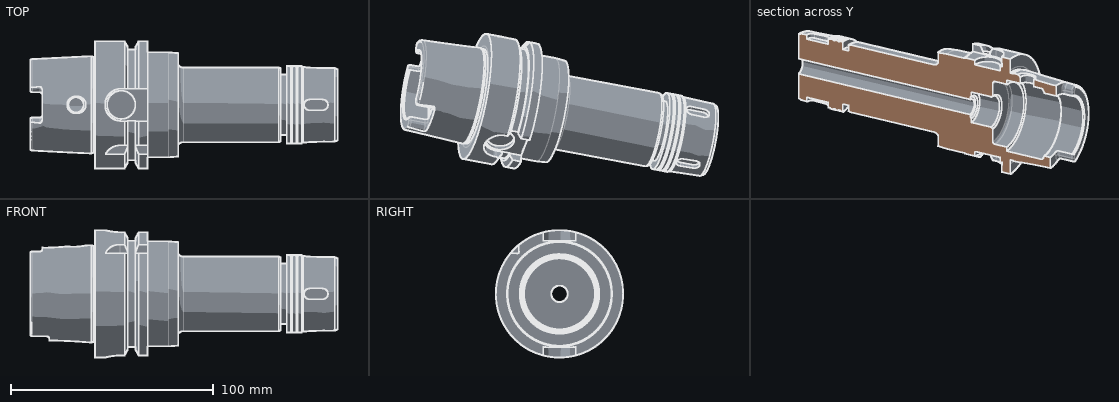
import cadquery as cq
import math


shank_length = 32.0
taper_slope = 0.05
taper_large_radius = 24.1
taper_end_x = -1.8
tip_fillet = 1.0
relief_radius = 23.8
relief_start_x = -0.9
relief_face_radius = 25.5
relief_face_depth = 0.2

flange_radius = 31.5
flange_width = 26.0
groove_center_x = 18.13
groove_mouth_width = 7.0
groove_floor_radius = 27.4
groove_chamfer_depth = 2.8
groove_chamfer_angle = 30.0

body_radius = 26.0
body_end_x = 41.2
body_ridge_x = 36.2
body_end_radius = 25.6
arbor_radius = 18.5
arbor_start_x = 43.6
shoulder_radius = 19.7
shoulder_arc_radius = 3.0
arbor_end_x = 91.8
arbor_chamfer_length = 1.0
arbor_chamfer_depth = 0.5
neck_radius = 15.0

nut_start_x = 94.7
nut_end_x = 120.0
nut_ring_radius = 19.2
nut_ring_width = 1.9
nut_ring_pitch = 2.75
nut_ring_count = 3
nut_ring_groove_radius = 18.8
nut_large_radius = 18.75
nut_small_radius = 18.2
nut_chamfer_length = 1.5
nut_chamfer_depth = 0.7
nut_slot_length = 11.8
nut_slot_width = 5.3
nut_slot_center_x = 109.2
nut_slot_floor_radius = 16.0
nut_slot_count = 4

bore_radius = 17.0
bore_chamfer = 0.6
clamp_cone_start_x = -19.1
clamp_cone_angle = 60.0
clamp_groove_radius = 19.2
clamp_groove_end_x = 2.0
bore_floor_x = 10.0
bore_floor_fillet = 1.2
thread_mouth_radius = 9.0
thread_radius = 8.15
thread_depth = 12.0
coolant_mouth_radius = 6.0
coolant_step_radius = 5.2
coolant_radius = 4.0

drive_slot_half_width = 6.2
drive_slot_flare_radius = 3.0
drive_slot_flare_z = 18.0
drive_slot_floor_fillet = 1.2
drive_slot_mouth_fillet = 1.0
top_drive_slot_depth = 6.0
bottom_drive_slot_depth = 9.4

cross_hole_x = -9.3
cross_hole_radius = 3.75
cross_hole_countersink = 0.9

keyway_width = 16.0
keyway_floor_z = 26.25
keyway_center_x = 13.0
keyway_recess_radius = 7.0
keyway_recess_depth = 2.5
notch_offset = 20.0
notch_center_x = 12.4
notch_cutter_radius = 8.0


def revolve_about_x(profile):
    return profile.close().revolve(360, (0, 0, 0), (1, 0, 0))


def turn(shape, angle):
    return shape.rotate((0, 0, 0), (1, 0, 0), angle)


def make_shank():
    tip_radius = taper_large_radius - taper_slope * (taper_end_x + shank_length)
    profile = (
        cq.Workplane("XY")
        .moveTo(-shank_length, 0)
        .lineTo(-shank_length, tip_radius)
        .lineTo(taper_end_x, taper_large_radius)
        .lineTo(relief_start_x, relief_radius)
        .lineTo(relief_face_depth, relief_radius)
        .lineTo(relief_face_depth, 0)
    )
    shank = revolve_about_x(profile).faces("<X").edges().fillet(tip_fillet)
    return shank.intersect(make_drive_slot_envelope())


def make_flange_and_arbor():
    chamfer_width = groove_chamfer_depth * math.tan(math.radians(groove_chamfer_angle))
    mouth_left = groove_center_x - groove_mouth_width / 2
    mouth_right = groove_center_x + groove_mouth_width / 2
    chamfer_radius = flange_radius - groove_chamfer_depth
    profile = (
        cq.Workplane("XY")
        .moveTo(relief_face_depth, 0)
        .lineTo(relief_face_depth, relief_radius)
        .lineTo(0, relief_face_radius)
        .lineTo(0, flange_radius)
        .lineTo(mouth_left, flange_radius)
        .lineTo(mouth_left + chamfer_width, chamfer_radius)
        .lineTo(mouth_left + chamfer_width, groove_floor_radius)
        .lineTo(mouth_right - chamfer_width, groove_floor_radius)
        .lineTo(mouth_right - chamfer_width, chamfer_radius)
        .lineTo(mouth_right, flange_radius)
        .lineTo(flange_width, flange_radius)
        .lineTo(flange_width, body_radius)
        .lineTo(body_ridge_x, body_radius)
        .lineTo(body_end_x, body_end_radius)
        .lineTo(body_end_x, shoulder_radius)
        .radiusArc((arbor_start_x, arbor_radius), -shoulder_arc_radius)
        .lineTo(arbor_end_x - arbor_chamfer_length, arbor_radius)
        .lineTo(arbor_end_x, arbor_radius - arbor_chamfer_depth)
        .lineTo(arbor_end_x, neck_radius)
        .lineTo(nut_start_x, neck_radius)
        .lineTo(nut_start_x, 0)
    )
    return revolve_about_x(profile)


def make_nut():
    profile = cq.Workplane("XY").moveTo(nut_start_x, 0)
    for index in range(nut_ring_count):
        ring_x = nut_start_x + index * nut_ring_pitch
        next_ring_x = ring_x + nut_ring_pitch
        profile = (
            profile.lineTo(ring_x, nut_ring_radius)
            .lineTo(ring_x + nut_ring_width, nut_ring_radius)
            .lineTo(ring_x + nut_ring_width, nut_ring_groove_radius)
            .lineTo(next_ring_x, nut_ring_groove_radius)
        )
    profile = (
        profile.lineTo(next_ring_x, nut_large_radius)
        .lineTo(nut_end_x - nut_chamfer_length, nut_small_radius)
        .lineTo(nut_end_x, nut_small_radius - nut_chamfer_depth)
        .lineTo(nut_end_x, 0)
    )
    return revolve_about_x(profile)


def make_bore():
    mouth_x = -shank_length
    clamp_cone_length = (clamp_groove_radius - bore_radius) / math.tan(math.radians(clamp_cone_angle))
    thread_end_x = bore_floor_x + thread_depth
    coolant_step_x = thread_end_x + coolant_mouth_radius - coolant_step_radius
    profile = (
        cq.Workplane("XY")
        .moveTo(mouth_x, 0)
        .lineTo(mouth_x, bore_radius + bore_chamfer)
        .lineTo(mouth_x + bore_chamfer, bore_radius)
        .lineTo(clamp_cone_start_x, bore_radius)
        .lineTo(clamp_cone_start_x + clamp_cone_length, clamp_groove_radius)
        .lineTo(clamp_groove_end_x, clamp_groove_radius)
        .lineTo(clamp_groove_end_x, bore_radius)
        .lineTo(bore_floor_x - bore_floor_fillet, bore_radius)
        .radiusArc((bore_floor_x, bore_radius - bore_floor_fillet), bore_floor_fillet)
        .lineTo(bore_floor_x, thread_mouth_radius)
        .lineTo(bore_floor_x + thread_mouth_radius - thread_radius, thread_radius)
        .lineTo(thread_end_x, thread_radius)
        .lineTo(thread_end_x, coolant_mouth_radius)
        .lineTo(coolant_step_x, coolant_step_radius)
        .lineTo(coolant_step_x, coolant_radius)
        .lineTo(nut_end_x, coolant_radius)
        .lineTo(nut_end_x, 0)
    )
    return revolve_about_x(profile)


def make_drive_slot(depth):
    """Slot on the +Z side of the tip, with rounded shoulders and a rounded floor edge."""
    shoulder_y = drive_slot_half_width + drive_slot_flare_radius
    shoulder_z = drive_slot_flare_z + drive_slot_flare_radius
    arc_offset = drive_slot_flare_radius * math.sqrt(0.5)
    arc_middle_y = shoulder_y - arc_offset
    arc_middle_z = drive_slot_flare_z + arc_offset
    return (
        cq.Workplane("YZ", origin=(-shank_length, 0, 0))
        .moveTo(-drive_slot_half_width, 0)
        .lineTo(-drive_slot_half_width, drive_slot_flare_z)
        .threePointArc((-arc_middle_y, arc_middle_z), (-shoulder_y, shoulder_z))
        .lineTo(-flange_radius, shoulder_z)
        .lineTo(-flange_radius, flange_radius)
        .lineTo(flange_radius, flange_radius)
        .lineTo(flange_radius, shoulder_z)
        .lineTo(shoulder_y, shoulder_z)
        .threePointArc((arc_middle_y, arc_middle_z), (drive_slot_half_width, drive_slot_flare_z))
        .lineTo(drive_slot_half_width, 0)
        .close()
        .extrude(depth)
        .faces(">X")
        .edges()
        .fillet(drive_slot_floor_fillet)
    )


def make_drive_slot_envelope():
    """Square block around the shank with both drive slots cut and their mouth edges rounded."""
    length = shank_length + relief_face_depth
    envelope = (
        cq.Workplane("YZ", origin=(-shank_length, 0, 0))
        .rect(2 * flange_radius, 2 * flange_radius)
        .extrude(length)
        .cut(make_drive_slot(top_drive_slot_depth))
        .cut(turn(make_drive_slot(bottom_drive_slot_depth), 180))
    )
    return envelope.faces("<X").edges().fillet(drive_slot_mouth_fillet)


def make_keyway():
    """Keyway in the flange on the +Z side, with a round end over a round recess."""
    length = flange_width - keyway_center_x
    height = flange_radius - keyway_floor_z
    base = cq.Workplane("XY", origin=(keyway_center_x, 0, keyway_floor_z))
    channel = base.center(length / 2, 0).rect(length, keyway_width).extrude(height)
    end = base.circle(keyway_width / 2).extrude(height)
    recess = base.circle(keyway_recess_radius).extrude(-keyway_recess_depth)
    return channel.union(end).union(recess)


def make_notch():
    """Square-cornered notch between the -Y and +Z sides, ending in a round cutter mark."""
    size = flange_radius - notch_offset
    base = cq.Workplane("XY", origin=(notch_center_x, -notch_offset, notch_offset))
    length = flange_width - notch_center_x
    channel = base.center(length / 2, -size / 2).rect(length, size).extrude(size)
    end = base.center(0, -notch_cutter_radius).circle(notch_cutter_radius).extrude(size)
    return channel.union(end)


def make_nut_slot():
    return (
        cq.Workplane("XY", origin=(nut_slot_center_x, 0, nut_slot_floor_radius))
        .slot2D(nut_slot_length, nut_slot_width)
        .extrude(nut_ring_radius - nut_slot_floor_radius)
    )


def make_cross_hole():
    """Radial hole on the +Z side with a 45 degree countersink."""
    surface_z = taper_large_radius - taper_slope * (taper_end_x - cross_hole_x)
    cone_height = cross_hole_radius + cross_hole_countersink
    hole = cq.Workplane("XY", origin=(cross_hole_x, 0, 0)).circle(cross_hole_radius).extrude(surface_z)
    countersink = cq.Solid.makeCone(
        0,
        2 * cone_height,
        2 * cone_height,
        cq.Vector(cross_hole_x, 0, surface_z - cone_height),
        cq.Vector(0, 0, 1),
    )
    return hole.union(countersink)


result = make_shank().union(make_flange_and_arbor()).union(make_nut()).cut(make_bore())
result = result.cut(make_cross_hole())
result = result.cut(make_keyway()).cut(turn(make_keyway(), 180)).cut(make_notch())
for index in range(nut_slot_count):
    result = result.cut(turn(make_nut_slot(), index * 360 / nut_slot_count))